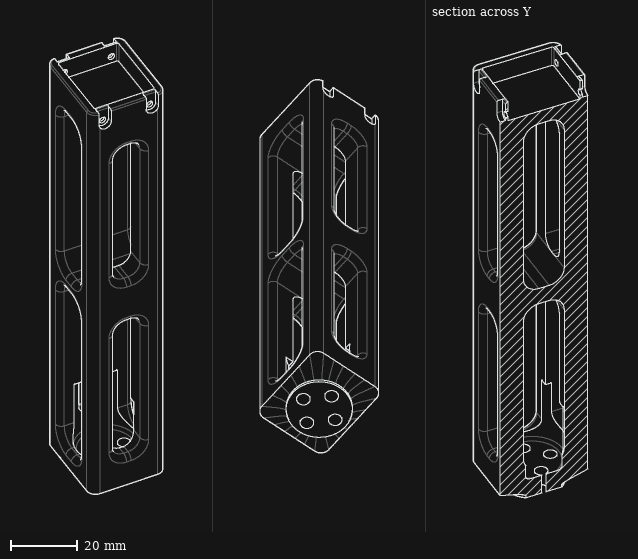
import cadquery as cq

body_x = 29.5
body_y = 25.5
total_height = 154.0
body_bottom = 4.0
corner_radius = 3.0
top_edge_radius = 0.5

foot_radius = 10.0
foot_neck_height = 1.0
flare_section_heights = (2.0, 3.0, body_bottom)

chamber_radius = 10.0
chamber_floor = 7.0
chamber_top = 30.0
chamber_floor_fillet = 1.0
bolt_hole_diameter = 4.1
bolt_circle_radius = 6.05
bolt_count = 4

pocket_x = 24.0
pocket_y = 20.5
pocket_depth = 7.0
pocket_corner_radius = 0.5

window_levels = (41.5, 110.5)
front_window_width = 13.5
front_window_height = 63.0
front_window_radius = 5.0
side_window_width = 9.5
side_window_height = 53.0
side_window_radius = 4.0
window_rim_radius = 2.0

seat_width = 4.1
seat_depth = 1.8
seat_hole_diameter = 2.05
seat_spacing = 16.0
seat_drop = 4.6


def make_column():
    """Rounded column; each screw seat leaves a thin wall whose top edge is rounded too."""
    column_height = total_height - body_bottom
    column = cq.Workplane("XY").workplane(offset=body_bottom).rect(body_x, body_y).extrude(column_height)
    column = column.edges("|Z").fillet(corner_radius)
    column = column.faces(">Z").edges().fillet(top_edge_radius)
    column = column.cut(make_seats())
    back_x = body_x / 2 - seat_depth
    for side_x in (-back_x, back_x):
        for y in (-seat_spacing / 2, seat_spacing / 2):
            back_edge = cq.selectors.NearestToPointSelector((side_x, y, total_height))
            column = column.edges(back_edge).fillet(top_edge_radius)
    return column


def flare_section(z):
    """Rounded-rectangle wire of the foot flare, growing quadratically from the neck to the column."""
    growth = z * (z - foot_neck_height) / (body_bottom * (body_bottom - foot_neck_height))
    size_x = 2 * foot_radius + (body_x - 2 * foot_radius) * growth
    size_y = 2 * foot_radius + (body_y - 2 * foot_radius) * growth
    radius = foot_radius + (corner_radius - foot_radius) * growth
    block = cq.Workplane("XY").workplane(offset=z).rect(size_x, size_y).extrude(total_height)
    return block.edges("|Z").fillet(radius).faces("<Z").wires().val()


def make_foot():
    """Round neck that flares out smoothly to the outline of the column."""
    neck = cq.Workplane("XY").circle(foot_radius).extrude(foot_neck_height)
    neck_rim = cq.Wire.makeCircle(foot_radius, cq.Vector(0, 0, foot_neck_height), cq.Vector(0, 0, 1))
    sections = [neck_rim] + [flare_section(z) for z in flare_section_heights]
    return neck.union(cq.Workplane(cq.Solid.makeLoft(sections)))


def make_seats():
    """Round-bottomed slots for the four screw seats and their cross holes."""
    seat_z = total_height - seat_drop
    seats = cq.Workplane("YZ")
    for start_x in (-body_x / 2, body_x / 2 - seat_depth):
        for y in (-seat_spacing / 2, seat_spacing / 2):
            plane = cq.Workplane("YZ").workplane(offset=start_x)
            seats = seats.add(plane.center(y, seat_z).circle(seat_width / 2).extrude(seat_depth))
            slot = plane.center(y, seat_z + seat_drop / 2).rect(seat_width, seat_drop)
            seats = seats.add(slot.extrude(seat_depth))
    for y in (-seat_spacing / 2, seat_spacing / 2):
        hole = cq.Workplane("YZ").center(y, seat_z).circle(seat_hole_diameter / 2)
        seats = seats.add(hole.extrude(body_x / 2, both=True))
    return seats.combine()


def make_window(width, height, radius, level, length):
    """Window prism along Y whose two mouths flare out with a convex rounded rim."""
    flare = window_rim_radius

    def rounded_prism(growth):
        prism = cq.Workplane("XZ").center(0, level).rect(width + 2 * growth, height + 2 * growth)
        return prism.extrude(length / 2, both=True).edges("|Y").fillet(radius + growth)

    blank = rounded_prism(2 * flare)
    frame = blank.cut(rounded_prism(0))
    for mouth in ("<Y", ">Y"):
        inner_edges = frame.faces(mouth).wires(cq.selectors.LengthNthSelector(0))
        frame = inner_edges.edges().fillet(flare)
    return blank.cut(frame)


def make_pocket():
    """Rectangular pocket open at the top of the column."""
    floor = cq.Workplane("XY").workplane(offset=total_height - pocket_depth)
    pocket = floor.rect(pocket_x, pocket_y).extrude(pocket_depth)
    return pocket.edges("|Z").fillet(pocket_corner_radius)


def make_chamber():
    """Round chamber with a filleted floor and a ring of bolt holes through the foot."""
    floor = cq.Workplane("XY").workplane(offset=chamber_floor)
    chamber = floor.circle(chamber_radius).extrude(chamber_top - chamber_floor)
    chamber = chamber.faces("<Z").edges().fillet(chamber_floor_fillet)
    bolts = cq.Workplane("XY").polarArray(bolt_circle_radius, 0, 360, bolt_count)
    bolts = bolts.circle(bolt_hole_diameter / 2).extrude(chamber_floor)
    return chamber.union(bolts)


result = make_column().union(make_foot())
for window_level in window_levels:
    front_window = make_window(
        front_window_width, front_window_height, front_window_radius, window_level, body_y
    )
    side_window = make_window(
        side_window_width, side_window_height, side_window_radius, window_level, body_x
    )
    result = result.cut(front_window)
    result = result.cut(side_window.rotate((0, 0, 0), (0, 0, 1), 90))
result = result.cut(make_pocket())
result = result.cut(make_chamber())